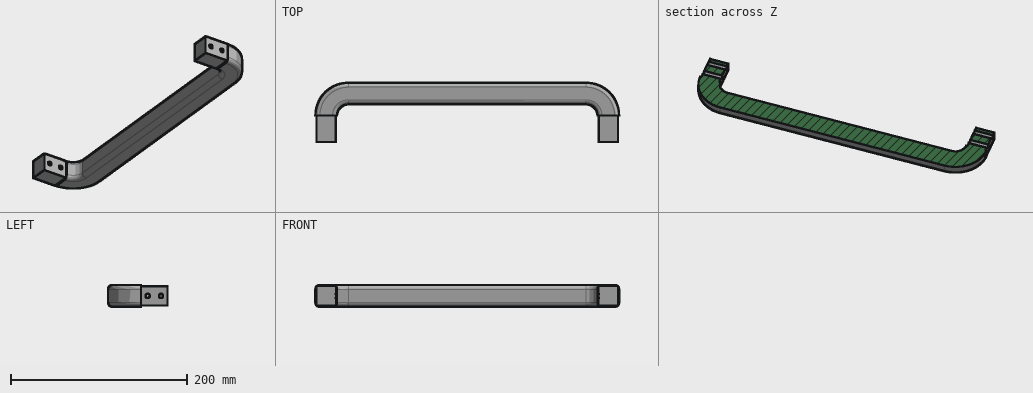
import cadquery as cq

overall_length = 345.0
bar_size = 25.0
edge_radius = 5.2
bend_inner_radius = 12.8
leg_size = 22.0
leg_length = 30.0
hole_diameter = 4.5
hole_spacing = 15.2

bend_radius = bend_inner_radius + bar_size / 2
half_span = (overall_length - bar_size) / 2
straight_half_length = half_span - bend_radius


def make_grip():
    """Sweep the rounded square section along two bends and a straight."""
    path = (
        cq.Workplane("XY")
        .moveTo(-half_span, 0)
        .radiusArc((-straight_half_length, bend_radius), bend_radius)
        .lineTo(straight_half_length, bend_radius)
        .radiusArc((half_span, 0), bend_radius)
    )
    section = cq.Sketch().rect(bar_size, bar_size).vertices().fillet(edge_radius)
    return cq.Workplane("XZ", origin=(-half_span, 0, 0)).placeSketch(section).sweep(path)


def make_leg(side):
    """Square leg running towards -Y; side is -1 for left, +1 for right."""
    return (
        cq.Workplane("XZ", origin=(side * half_span, 0, 0))
        .rect(leg_size, leg_size)
        .extrude(leg_length)
    )


def make_holes():
    """Pair of cross holes along X, passing through both legs."""
    return (
        cq.Workplane("YZ", origin=(0, -leg_length / 2, 0))
        .rarray(hole_spacing, 3.5, 2, 1)
        .circle(hole_diameter / 2)
        .extrude(overall_length / 2, both=True)
    )


handle = make_grip()
for leg_side in (-1, 1):
    handle = handle.union(make_leg(leg_side))

result = handle.cut(make_holes())